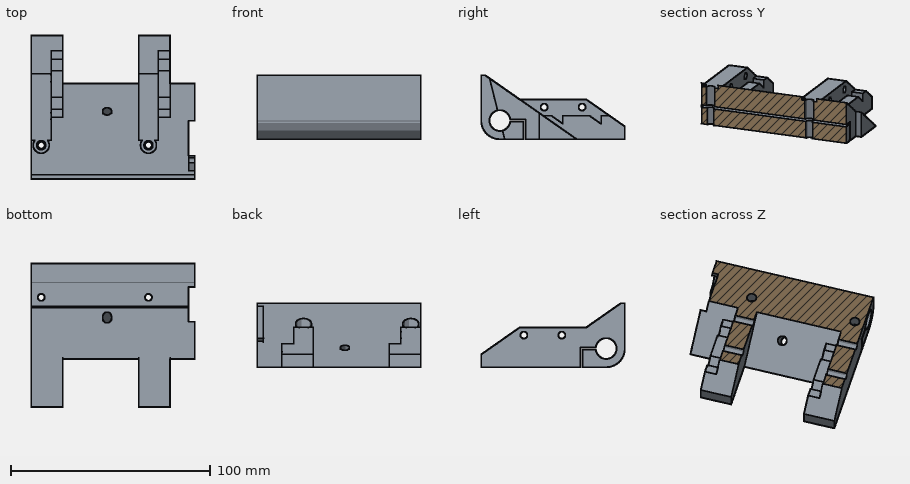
import cadquery as cq
import math

length = 82.0
depth = 72.2
height = 32.15

slope_angle = 35.0
rim_width = 2.1
slope = math.tan(math.radians(slope_angle))
body_depth = rim_width + height / slope

rod_diameter = 10.3
rod_center = 9.4
slit_width = 1.0
clamp_depth = 21.4

arm_width = 15.9
arm_spacing = 53.8
arm_top = 20.0
arm_tip_height = 6.5

web_width = 10.0
seat_height = 11.9
tooth_length = 5.9
tooth_starts = (35.2, 54.3)

cross_hole_diameter = 3.4
cross_hole_height = 16.15
cross_hole_places = (31.65, 50.7)

screw_from_front = 17.05
screw_head_diameter = 8.0
screw_clearance_diameter = 4.5
screw_thread_diameter = 3.4

slope_hole_diameter = 4.5
slope_hole_x = 38.05
slope_hole_from_front = 34.0

notch_width = 3.0
notch_front_top = 4.3
notch_front_bottom = 11.9
notch_back = 29.3


def slope_height(y):
    """Height of the sloping back at distance y from the front face."""
    return (body_depth - y) * slope


def slope_distance(z):
    """Distance from the front face at which the sloping back is at height z."""
    return body_depth - z / slope


def extrude_along_x(points, start, width):
    """Prism along X from an outline given as (y, z) points."""
    return cq.Workplane("YZ", origin=(start, 0, 0)).polyline(points).close().extrude(width)


def cylinder_along_x(y, z, diameter):
    """Cylinder running the full length of the part."""
    return cq.Workplane("YZ").center(y, z).circle(diameter / 2).extrude(length)


def cylinder_along_z(x, y, bottom, top, diameter):
    """Upright cylinder between two heights."""
    return cq.Workplane("XY", origin=(x, y, bottom)).circle(diameter / 2).extrude(top - bottom)


def body():
    """Wedge with a narrow flat rim and a lower front edge rounded about the rod."""
    outline = [(0, 0), (body_depth, 0), (rim_width, height), (0, height)]
    wedge = extrude_along_x(outline, 0, length)
    return wedge.edges("|X and <Y and <Z").fillet(rod_center)


def arm_rib(start, width, top):
    """Rib with a level top that runs from the sloping back to the sloping tip."""
    outline = [
        (slope_distance(top), top),
        (depth - (top - arm_tip_height) / slope, top),
        (depth, arm_tip_height),
        (depth, 0),
        (body_depth, 0),
    ]
    return extrude_along_x(outline, start, width)


def arm(start):
    """Tall web with a lower seat beside it."""
    web = arm_rib(start, web_width, arm_top)
    seat = arm_rib(start, arm_width, seat_height)
    return web.union(seat)


def tooth_cuts(start):
    """Sawtooth notches in the seat, their floors parallel to the sloping back."""
    cuts = cq.Workplane()
    for front in tooth_starts:
        back = front + tooth_length
        outline = [
            (front, seat_height),
            (back, seat_height - tooth_length * slope),
            (back, seat_height),
        ]
        cuts = cuts.add(extrude_along_x(outline, start + web_width, arm_width - web_width))
    return cuts.combine()


def rod_clamp_cut():
    """Rod bore and the L-shaped slit that frees the clamp jaw."""
    rod = cylinder_along_x(rod_center, rod_center, rod_diameter)
    slit_bottom = rod_center - slit_width / 2
    slit_top = rod_center + slit_width / 2
    slit_back = clamp_depth + slit_width
    slit = [
        (rod_center, slit_bottom),
        (clamp_depth, slit_bottom),
        (clamp_depth, 0),
        (slit_back, 0),
        (slit_back, slit_top),
        (rod_center, slit_top),
    ]
    return rod.union(extrude_along_x(slit, 0, length))


def clamp_screw_cut(x):
    """Head recess level with the arm top, clearance above the slit and thread in the jaw."""
    y = screw_from_front
    thread = cylinder_along_z(x, y, 0, rod_center, screw_thread_diameter)
    clearance = cylinder_along_z(x, y, rod_center, arm_top, screw_clearance_diameter)
    head = cylinder_along_z(x, y, arm_top, height, screw_head_diameter)
    return thread.union(clearance).union(head)


def slope_hole():
    """Through hole square to the sloping back."""
    angle = math.radians(slope_angle)
    mouth = cq.Vector(slope_hole_x, slope_hole_from_front, slope_height(slope_hole_from_front))
    outward = cq.Vector(0, math.sin(angle), math.cos(angle))
    bore = cq.Solid.makeCylinder(slope_hole_diameter / 2, 2 * height, mouth - outward * height, outward)
    return cq.Workplane(bore)


def end_notch():
    """Notch open to the +X end and cut right through, with a leaning front wall across the rod bore."""
    outline = [
        (notch_front_top, height),
        (notch_front_top, slope_height(notch_front_top)),
        (notch_front_bottom, 0),
        (notch_back, 0),
        (notch_back, height),
    ]
    return extrude_along_x(outline, length - notch_width, notch_width)


result = body()
arm_starts = (0, arm_spacing)
for start in arm_starts:
    result = result.union(arm(start))
result = result.cut(rod_clamp_cut())
for start in arm_starts:
    result = result.cut(tooth_cuts(start))
    result = result.cut(clamp_screw_cut(start + web_width / 2))
for place in cross_hole_places:
    result = result.cut(cylinder_along_x(place, cross_hole_height, cross_hole_diameter))
result = result.cut(slope_hole()).cut(end_notch())